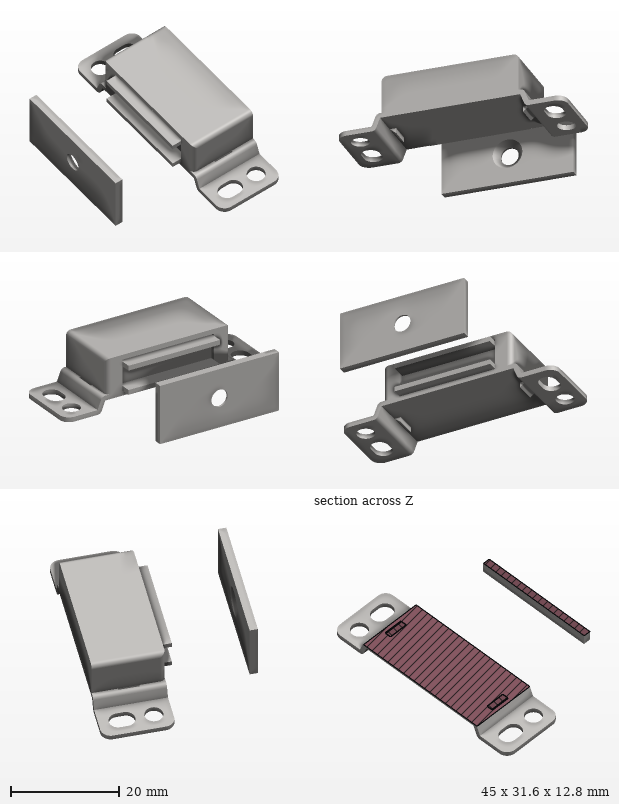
import cadquery as cq
import math


BRACKET_LENGTH = 45.0
DEPTH = 14.0
SHEET = 1.0
BRACKET_TOP = 3.5
FOOT_BEND_X = 15.5
SHELF_BEND_X = 13.8
FOOT_CORNER_RADIUS = 2.0
FOOT_HOLE_DIAMETER = 3.5
FOOT_HOLE_X = 19.0
ROUND_HOLE_Y = 3.5
SLOT_Y = 2.5
SLOT_LENGTH = 5.0
SHELF_UNDERSIDE = BRACKET_TOP - SHEET

HOUSING_WIDTH = 27.0
HOUSING_HEIGHT = 7.42
HOUSING_ROUND = 1.0
ROOF_THICKNESS = 1.0
POCKET_DEPTH = 1.0
CLIP_WIDTH = 4.0
CLIP_INNER_X = 12.5
CLIP_NOSE_DROP = 1.05
HOUSING_TOP = BRACKET_TOP + HOUSING_HEIGHT
FRONT_Y = -DEPTH / 2

POLE_WIDTH = 20.0
POLE_THICKNESS = 1.0
POLE_GAP = 4.0
POLE_PROTRUSION = 2.0

STRIKE_WIDTH = 26.0
STRIKE_HEIGHT = 12.0
STRIKE_THICKNESS = 1.58
STRIKE_TOP = 12.75
STRIKE_DISTANCE = 16.0
STRIKE_HOLE_DIAMETER = 3.5
STRIKE_HOLE_LAND = 0.4
COUNTERSINK_ANGLE = 90.0


def block(x_size, y_min, y_max, z_min, z_max):
    """Box centred on X = 0 between the given Y and Z limits."""
    return cq.Workplane("XY").box(x_size, y_max - y_min, z_max - z_min).translate(
        (0, (y_min + y_max) / 2, (z_min + z_max) / 2)
    )


def along_depth(profile, y_length):
    """Extrude an XZ profile along Y, centred on Y = 0."""
    return profile.extrude(y_length / 2, both=True)


def mirrored_pair(solid):
    """The solid together with its mirror image across X = 0."""
    return solid.union(solid.mirror("YZ"))


def bracket_half():
    """Right half of the strap; bends are sharp inside and round outside, at constant thickness."""
    run = FOOT_BEND_X - SHELF_BEND_X
    rise = SHELF_UNDERSIDE - SHEET
    leg_angle = math.atan2(rise, run) + math.asin(SHEET / math.hypot(run, rise))

    def bend_arc_point(centre_x, centre_z, angle, side):
        """Point on an outer bend, turned by angle from the vertical; side is +1 above, -1 below."""
        return (
            centre_x + side * SHEET * math.sin(angle),
            centre_z + side * SHEET * math.cos(angle),
        )

    shelf_bend = (SHELF_BEND_X, SHELF_UNDERSIDE)
    foot_bend = (FOOT_BEND_X, SHEET)
    profile = (
        cq.Workplane("XZ")
        .moveTo(0, SHELF_UNDERSIDE)
        .lineTo(*shelf_bend)
        .lineTo(*bend_arc_point(*foot_bend, leg_angle, -1))
        .threePointArc(
            bend_arc_point(*foot_bend, leg_angle / 2, -1),
            bend_arc_point(*foot_bend, 0, -1),
        )
        .lineTo(BRACKET_LENGTH / 2, 0)
        .lineTo(BRACKET_LENGTH / 2, SHEET)
        .lineTo(*foot_bend)
        .lineTo(*bend_arc_point(*shelf_bend, leg_angle, 1))
        .threePointArc(
            bend_arc_point(*shelf_bend, leg_angle / 2, 1),
            bend_arc_point(*shelf_bend, 0, 1),
        )
        .lineTo(0, BRACKET_TOP)
        .close()
    )
    half = along_depth(profile, DEPTH)
    return half.edges("|Z and >X").fillet(FOOT_CORNER_RADIUS)


def foot_holes(side):
    """Round hole and slot of one foot; the two feet are half-turn copies of each other."""
    round_hole = (
        cq.Workplane("XY")
        .center(side * FOOT_HOLE_X, side * ROUND_HOLE_Y)
        .circle(FOOT_HOLE_DIAMETER / 2)
        .extrude(SHEET)
    )
    slot = (
        cq.Workplane("XY")
        .center(side * FOOT_HOLE_X, -side * SLOT_Y)
        .slot2D(SLOT_LENGTH, FOOT_HOLE_DIAMETER, 90)
        .extrude(SHEET)
    )
    return round_hole.union(slot)


def clip_windows():
    """Rectangular openings in the shelf that the housing clips pass through."""
    window = cq.Workplane("XY").box(
        SHELF_BEND_X - CLIP_INNER_X, CLIP_WIDTH, SHEET, centered=(False, True, False)
    )
    return mirrored_pair(window.translate((CLIP_INNER_X, 0, SHELF_UNDERSIDE)))


def make_bracket():
    bracket = mirrored_pair(bracket_half())
    for side in (-1, 1):
        bracket = bracket.cut(foot_holes(side))
    return bracket.cut(clip_windows())


def snap_clips():
    """Hooks that widen through the shelf and taper inward below it."""
    profile = (
        cq.Workplane("XZ")
        .moveTo(CLIP_INNER_X, BRACKET_TOP)
        .lineTo(HOUSING_WIDTH / 2, BRACKET_TOP)
        .lineTo(SHELF_BEND_X, SHELF_UNDERSIDE)
        .lineTo(CLIP_INNER_X, SHELF_UNDERSIDE - CLIP_NOSE_DROP)
        .close()
    )
    return mirrored_pair(along_depth(profile, CLIP_WIDTH))


def make_housing():
    body = block(HOUSING_WIDTH, FRONT_Y, -FRONT_Y, BRACKET_TOP, HOUSING_TOP)
    body = body.faces("<X or >X").edges("<Y or >Z").fillet(HOUSING_ROUND)
    roof_underside = HOUSING_TOP - ROOF_THICKNESS
    pocket = block(POLE_WIDTH, FRONT_Y, FRONT_Y + POCKET_DEPTH, BRACKET_TOP, roof_underside)
    return body.cut(pocket).union(snap_clips())


def make_pole_plate(z_min):
    """Bar seated on the pocket floor and standing out of the housing front."""
    return block(
        POLE_WIDTH, FRONT_Y - POLE_PROTRUSION, FRONT_Y + POCKET_DEPTH, z_min, z_min + POLE_THICKNESS
    )


def make_strike_plate():
    back_y = FRONT_Y - STRIKE_DISTANCE
    plate = block(
        STRIKE_WIDTH, back_y - STRIKE_THICKNESS, back_y, STRIKE_TOP - STRIKE_HEIGHT, STRIKE_TOP
    )
    countersink_depth = STRIKE_THICKNESS - STRIKE_HOLE_LAND
    widening = countersink_depth * math.tan(math.radians(COUNTERSINK_ANGLE / 2))
    return (
        plate.faces(">Y")
        .workplane(centerOption="CenterOfBoundBox")
        .cskHole(STRIKE_HOLE_DIAMETER, STRIKE_HOLE_DIAMETER + 2 * widening, COUNTERSINK_ANGLE)
    )


bracket = make_bracket()
housing = make_housing()
pole_plates = [
    make_pole_plate(BRACKET_TOP + index * (POLE_THICKNESS + POLE_GAP))
    for index in range(2)
]
strike_plate = make_strike_plate()

result = cq.Compound.makeCompound(
    [
        bracket.val(),
        housing.val(),
        *[plate.val() for plate in pole_plates],
        strike_plate.val(),
    ]
)